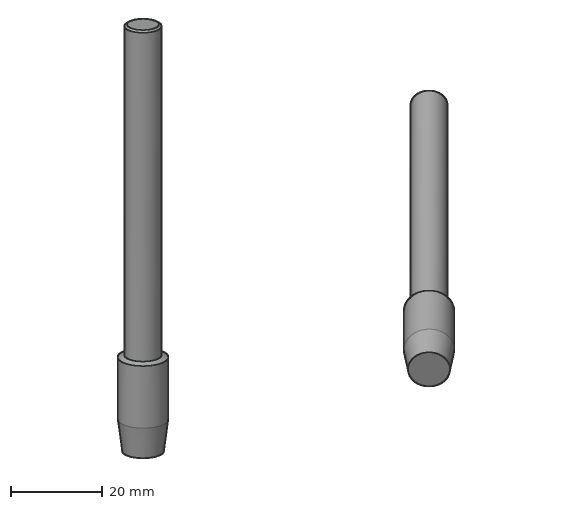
import cadquery as cq

total_length = 100.0
shank_radius = 4.1
shank_chamfer_width = 0.6
shank_chamfer_height = 0.4
head_diameter = 11.1
head_radius = head_diameter / 2
tip_radius = 4.6
taper_length = 7.5
shoulder_base = 22.0
shoulder_height = 0.5

shank_base = shoulder_base + shoulder_height


def make_head():
    """Turned head: tapered tip, cylindrical body and conical shoulder."""
    profile = [
        (0, 0),
        (tip_radius, 0),
        (head_radius, taper_length),
        (head_radius, shoulder_base),
        (shank_radius, shank_base),
        (0, shank_base),
    ]
    return cq.Workplane("XZ").polyline(profile).close().revolve(360, (0, 0), (0, 1))


def make_shank():
    """Plain round shank with a chamfered upper end."""
    shank_end_radius = shank_radius - shank_chamfer_width
    profile = [
        (0, shank_base),
        (shank_radius, shank_base),
        (shank_radius, total_length - shank_chamfer_height),
        (shank_end_radius, total_length),
        (0, total_length),
    ]
    return cq.Workplane("XZ").polyline(profile).close().revolve(360, (0, 0), (0, 1))


head = make_head()
shank = make_shank()

result = cq.Compound.makeCompound([head.val(), shank.val()])